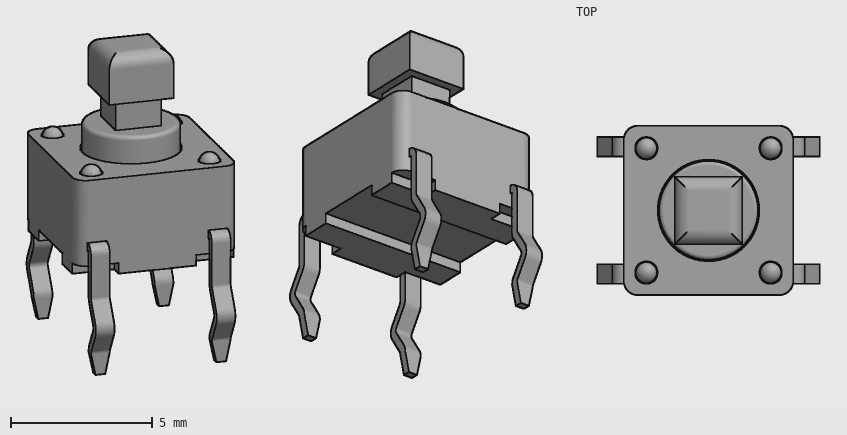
import cadquery as cq
import math


body_width = 6.0
body_top = 3.6
corner_radius = 0.5
standoff_height = 0.4
channel_width = 2.65
side_tab_length = 2.88
cover_recess_depth = 0.3

collar_diameter = 3.5
collar_opening_diameter = 3.6
collar_top = 4.6
collar_fillet = 0.15
stem_width = 1.7
cap_width = 2.4
cap_bottom = 5.7
cap_top = 7.5
cap_fillet = 0.5

rivet_diameter = 0.75
rivet_hole_diameter = 0.8
rivet_height = 0.3
rivet_offset = 2.2

overall_width = 7.89
pin_row_spacing = 6.5
pin_pitch = 4.5
pin_thickness = 0.3
pin_width = 0.7
pin_top = 1.275
pin_bottom = -3.55
shoulder_outer_radius = 0.375
kink_inner_radius = 0.2
kink_angle = math.radians(33)
kink_middle = -1.71
tip_top = -2.75
tip_width = 0.36
pin_root_depth = 0.3

FOUR_CORNERS = [(1, 1), (1, -1), (-1, 1), (-1, -1)]


def box(size_x, size_y, bottom, top):
    """Block centred on the Z axis between two heights."""
    return cq.Workplane("XY").workplane(offset=bottom).rect(size_x, size_y).extrude(top - bottom)


def cylinder(diameter, bottom, top):
    """Cylinder on the Z axis between two heights."""
    return cq.Workplane("XY").workplane(offset=bottom).circle(diameter / 2).extrude(top - bottom)


def make_housing():
    """Rounded square housing on two standoffs split by a channel along Y."""
    housing = box(body_width, body_width, standoff_height, body_top)
    housing = housing.edges("|Z").fillet(corner_radius)
    long_foot = box(body_width - 2 * corner_radius, body_width, 0, standoff_height)
    side_tabs = box(body_width, side_tab_length, 0, standoff_height)
    channel = box(channel_width, body_width, 0, standoff_height)
    return housing.union(long_foot.union(side_tabs).cut(channel))


def make_plunger():
    """Round collar, square stem and square cap with a rounded top."""
    collar = cylinder(collar_diameter, body_top - cover_recess_depth, collar_top)
    collar = collar.faces(">Z").edges().fillet(collar_fillet)
    stem = box(stem_width, stem_width, collar_top, cap_bottom)
    cap = box(cap_width, cap_width, cap_bottom, cap_top)
    cap = cap.faces(">Z").edges().fillet(cap_fillet)
    return collar.union(stem).union(cap)


def make_rivet():
    """Round-headed rivet standing in the floor of its cover hole."""
    head_centre = body_top + rivet_height - rivet_diameter / 2
    shank = cylinder(rivet_diameter, body_top - cover_recess_depth, head_centre)
    head = cq.Workplane("XY").sphere(rivet_diameter / 2).translate((0, 0, head_centre))
    return shank.union(head)


def make_pin():
    """Terminal at +X, centred on Y = 0: a bent strip with an outward kink and a tapered tip."""
    leg_x = pin_row_spacing / 2
    root_x = body_width / 2 - pin_root_depth
    root_z = pin_top - pin_thickness / 2
    shoulder_radius = shoulder_outer_radius - pin_thickness / 2

    bend_radius = kink_inner_radius + pin_thickness / 2
    bend_x = bend_radius * (1 - math.cos(kink_angle))
    bend_z = bend_radius * math.sin(kink_angle)
    kink_depth = (overall_width - pin_thickness) / 2 - leg_x
    slope_z = (kink_depth - 2 * bend_x) / math.tan(kink_angle)
    crest_x = leg_x + kink_depth
    kink_half_height = 2 * bend_z + slope_z

    path = (
        cq.Workplane("XZ")
        .moveTo(root_x, root_z)
        .lineTo(leg_x - shoulder_radius, root_z)
        .tangentArcPoint((leg_x, root_z - shoulder_radius), relative=False)
        .lineTo(leg_x, kink_middle + kink_half_height)
        .tangentArcPoint((bend_x, -bend_z))
        .lineTo(crest_x - bend_x, kink_middle + bend_z)
        .tangentArcPoint((0, -2 * bend_z))
        .lineTo(leg_x + bend_x, kink_middle - kink_half_height + bend_z)
        .tangentArcPoint((-bend_x, -bend_z))
        .lineTo(leg_x, pin_bottom)
    )
    section = cq.Workplane("YZ", origin=(root_x, 0, root_z)).rect(pin_width, pin_thickness)
    strip = section.sweep(path)

    silhouette = (
        cq.Workplane("YZ")
        .polyline([
            (-pin_width / 2, pin_top),
            (pin_width / 2, pin_top),
            (pin_width / 2, tip_top),
            (tip_width / 2, pin_bottom),
            (-tip_width / 2, pin_bottom),
            (-pin_width / 2, tip_top),
        ])
        .close()
        .extrude(overall_width)
    )
    return strip.intersect(silhouette)


def make_switch():
    """Join the housing, plunger, rivets and terminals."""
    recess_floor = body_top - cover_recess_depth
    switch = make_housing().cut(cylinder(collar_opening_diameter, recess_floor, body_top))
    switch = switch.union(make_plunger())

    rivet_hole = cylinder(rivet_hole_diameter, recess_floor, body_top)
    rivet = make_rivet()
    right_pin = make_pin()
    left_pin = right_pin.mirror("YZ")
    for side_x, side_y in FOUR_CORNERS:
        rivet_place = (side_x * rivet_offset, side_y * rivet_offset, 0)
        switch = switch.cut(rivet_hole.translate(rivet_place)).union(rivet.translate(rivet_place))
        pin = right_pin if side_x > 0 else left_pin
        switch = switch.union(pin.translate((0, side_y * pin_pitch / 2, 0)))
    return switch


result = make_switch()